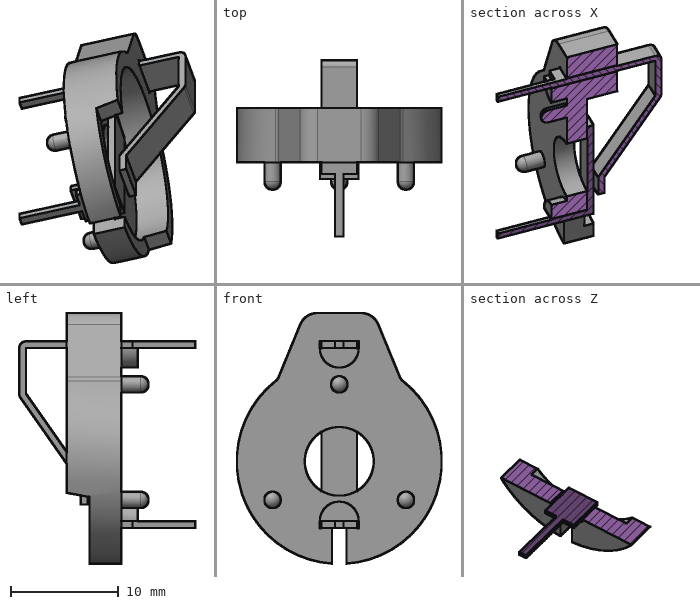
import cadquery as cq
import math


body_radius = 9.52
body_depth = 5.07
body_top = 13.78
tab_half_width = 3.19
tab_slope = 22.3
tab_foot = 6.98
tab_corner_radius = 1.75
neck_radius = 0.88
window_radius = 3.19
pocket_radius = 8.0
floor_depth = 2.05
ledge_depth = 2.98
step_back = -2.93
step_front = -3.3
slit_width = 1.33

peg_radius = 0.77
peg_length = 2.54
peg_circle_radius = 7.15
peg_count = 3
boss_depth = 1.54

strip = 0.65
contact_width = 3.3
slot_width = 3.6
upper_slot_bottom = 10.5
upper_slot_top = upper_slot_bottom + strip
lower_slot_top = -5.54
lower_slot_bottom = lower_slot_top - strip
pin_width = 0.8
pin_reach = 6.86
shoulder_reach = 1.05

spring_back = 9.5
spring_bend = 6.28
spring_slope = 35.0
tip_front = 3.15
tip_bottom = -4.0

lower_contact_top = 4.65


def box(width, y_start, y_end, z_start, z_end):
    """Block centred on X = 0 between the given Y and Z limits."""
    block = cq.Workplane("XY").box(width, y_end - y_start, z_end - z_start, centered=(True, False, False))
    return block.translate((0, y_start, z_start))


def cylinder_y(radius, y_start, y_end, x=0, z=0):
    """Cylinder along Y between the given limits."""
    axis_start = cq.Vector(x, y_start, z)
    return cq.Workplane(cq.Solid.makeCylinder(radius, y_end - y_start, axis_start, cq.Vector(0, 1, 0)))


def make_shell():
    """Disc joined to a tapering tab with rounded corners and necks."""
    foot_half_width = tab_half_width + (body_top - tab_foot) * math.tan(math.radians(tab_slope))
    tab = (
        cq.Workplane("XZ")
        .polyline([
            (-foot_half_width, tab_foot),
            (foot_half_width, tab_foot),
            (tab_half_width, body_top),
            (-tab_half_width, body_top),
        ])
        .close()
        .extrude(-body_depth)
        .edges("|Y and >Z")
        .fillet(tab_corner_radius)
    )
    shell = cylinder_y(body_radius, 0, body_depth).union(tab)
    neck_edges = cq.selectors.BoxSelector(
        (-foot_half_width, 0, tab_foot),
        (foot_half_width, body_depth, upper_slot_bottom),
    )
    return shell.edges("|Y").edges(neck_edges).fillet(neck_radius)


def make_step_cut():
    """Region removed behind the ledge, below the sloping step."""
    return (
        cq.Workplane("YZ")
        .polyline([
            (ledge_depth, step_front),
            (body_depth, step_back),
            (body_depth, -body_radius),
            (ledge_depth, -body_radius),
        ])
        .close()
        .extrude(body_radius, both=True)
    )


def make_peg(x, z):
    """Round locating peg with a hemispherical end."""
    dome_centre = -(peg_length - peg_radius)
    dome = cq.Workplane("XY").sphere(peg_radius).translate((x, dome_centre, z))
    return cylinder_y(peg_radius, dome_centre, 0, x, z).union(dome)


def make_boss(flat_height, side):
    """Half-round boss with its flat on a slot edge; side is +1 upwards, -1 downwards."""
    radius = slot_width / 2
    half_space = box(slot_width, -boss_depth, 0, min(0, side * radius), max(0, side * radius))
    return cylinder_y(radius, -boss_depth, 0, z=flat_height).intersect(half_space.translate((0, 0, flat_height)))


def make_housing():
    housing = (
        make_shell()
        .cut(cylinder_y(pocket_radius, floor_depth, body_depth))
        .cut(cylinder_y(window_radius, 0, floor_depth))
        .cut(make_step_cut())
        .cut(box(slot_width, 0, body_depth, upper_slot_bottom, upper_slot_top))
        .cut(box(slot_width, 0, body_depth, lower_slot_bottom, lower_slot_top))
        .cut(box(slit_width, 0, body_depth, -body_radius, lower_slot_bottom))
    )
    for index in range(peg_count):
        angle = math.radians(90 + index * 360 / peg_count)
        peg = make_peg(peg_circle_radius * math.cos(angle), peg_circle_radius * math.sin(angle))
        housing = housing.union(peg)
    housing = housing.union(make_boss(upper_slot_bottom, -1))
    return housing.union(make_boss(lower_slot_top, 1))


def make_pin(z_bottom):
    """Narrow solder pin in front of a contact's shoulders."""
    return box(pin_width, -pin_reach, -shoulder_reach, z_bottom, z_bottom + strip)


def make_upper_contact():
    """Strip that passes through the tab, turns down and slopes into the pocket."""
    slope = math.radians(spring_slope)
    inner_back = spring_back - strip
    tip_back = tip_front + strip
    outer_y = inner_back + strip * math.cos(slope)
    outer_z = spring_bend - strip * math.sin(slope)
    lower_arc_y = inner_back + strip * math.cos(slope / 2)
    lower_arc_z = spring_bend - strip * math.sin(slope / 2)
    arc_mid = strip * math.sqrt(0.5)
    tip_back_bend = outer_z - (outer_y - tip_back) / math.tan(slope)
    tip_front_bend = spring_bend - (inner_back - tip_front) / math.tan(slope)
    spring = (
        cq.Workplane("YZ")
        .moveTo(-shoulder_reach, upper_slot_top)
        .lineTo(inner_back, upper_slot_top)
        .threePointArc((inner_back + arc_mid, upper_slot_bottom + arc_mid), (spring_back, upper_slot_bottom))
        .lineTo(spring_back, spring_bend)
        .threePointArc((lower_arc_y, lower_arc_z), (outer_y, outer_z))
        .lineTo(tip_back, tip_back_bend)
        .lineTo(tip_back, tip_bottom)
        .lineTo(tip_front, tip_bottom)
        .lineTo(tip_front, tip_front_bend)
        .lineTo(inner_back, spring_bend)
        .lineTo(inner_back, upper_slot_bottom)
        .lineTo(-shoulder_reach, upper_slot_bottom)
        .close()
        .extrude(contact_width / 2, both=True)
    )
    return spring.union(make_pin(upper_slot_bottom))


def make_lower_contact():
    """Angle strip that passes through the floor and lies flat on it across the window."""
    strip_back = floor_depth + strip
    leg = box(contact_width, -shoulder_reach, strip_back, lower_slot_bottom, lower_slot_top)
    plate = box(contact_width, floor_depth, strip_back, lower_slot_bottom, lower_contact_top)
    return leg.union(plate).union(make_pin(lower_slot_bottom))


housing = make_housing()
upper_contact = make_upper_contact()
lower_contact = make_lower_contact()

result = cq.Compound.makeCompound([housing.val(), upper_contact.val(), lower_contact.val()])